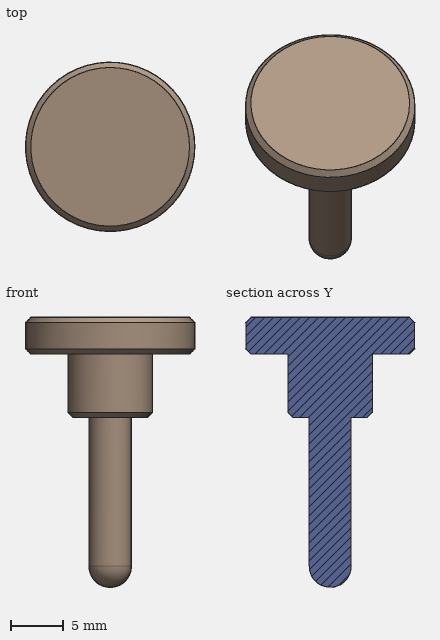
import cadquery as cq

total_length = 25.5
head_diameter = 16.0
head_thickness = 3.5
hub_diameter = 8.0
hub_length = 6.0
pin_diameter = 4.0
edge_chamfer = 0.5

pin_radius = pin_diameter / 2
head_bottom = total_length - head_thickness
hub_bottom = head_bottom - hub_length


def make_head():
    """Disc chamfered on both rims."""
    disc = cq.Workplane("XY").workplane(offset=head_bottom).circle(head_diameter / 2).extrude(head_thickness)
    return disc.edges().chamfer(edge_chamfer)


def make_hub():
    """Stepped collar under the head, chamfered on its lower rim."""
    collar = cq.Workplane("XY").workplane(offset=hub_bottom).circle(hub_diameter / 2).extrude(hub_length)
    return collar.faces("<Z").edges().chamfer(edge_chamfer)


def make_pin():
    """Round pin ending in a hemispherical tip."""
    shank = cq.Workplane("XY").workplane(offset=pin_radius).circle(pin_radius).extrude(hub_bottom - pin_radius)
    tip = cq.Workplane("XY").sphere(pin_radius).translate((0, 0, pin_radius))
    return shank.union(tip)


result = make_head().union(make_hub()).union(make_pin())